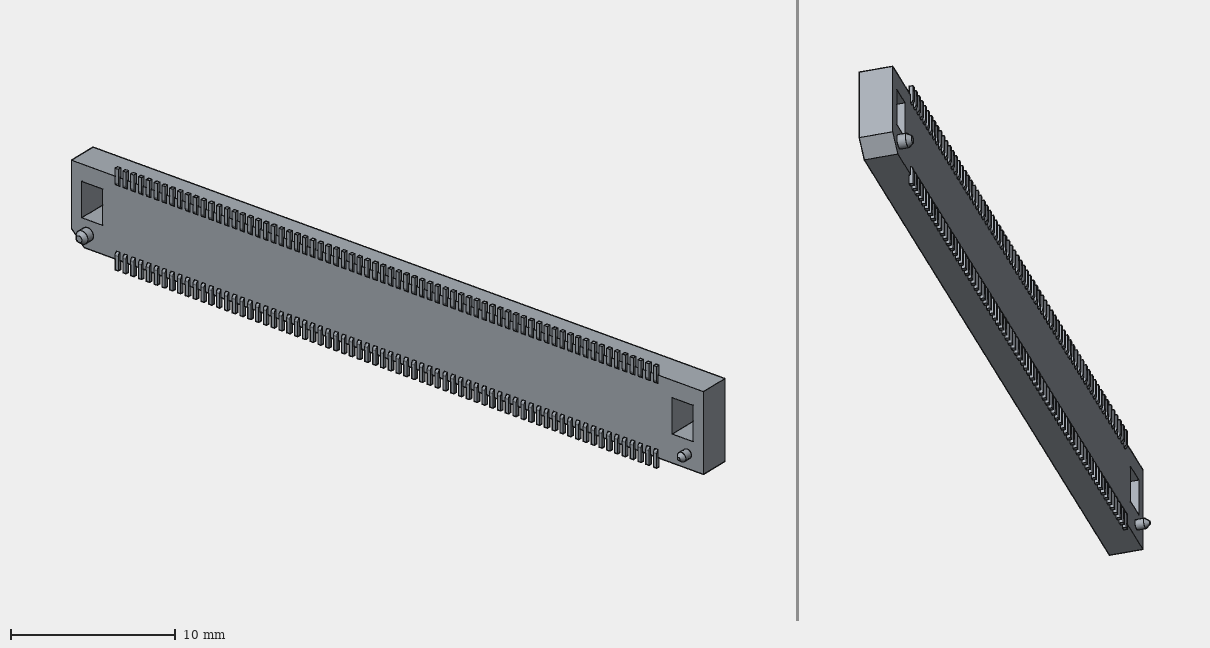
import cadquery as cq


body_length = 48.6
overall_depth = 3.0
overall_width = 7.0

peg_height = 0.85
body_depth = overall_depth - peg_height
body_width = 5.7
corner_chamfer = 1.0

contacts_per_row = 70
contact_pitch = 0.6
contact_width = 0.25
contact_length = 1.25
contact_rise = 0.15
contact_depth = 0.1

window_length = 1.6
window_width = 2.5
window_end_margin = 0.8
window_top_margin = 1.2

peg_end_margin = 1.25
peg_bottom_margin = 1.02
peg_straight_height = 0.55
large_peg_diameter = 0.9
small_peg_diameter = 0.65
peg_taper = 0.225

contact_thickness = contact_rise + contact_depth
half_length = body_length / 2
half_width = body_width / 2
window_x = half_length - window_end_margin - window_length / 2
window_z = half_width - window_top_margin - window_width / 2
peg_x = half_length - peg_end_margin
peg_z = -half_width + peg_bottom_margin


def make_housing():
    """Rectangular housing with one bevelled corner to mark the first contact."""
    housing = cq.Workplane("XY").box(body_length, body_depth, body_width, centered=(True, False, True))
    return housing.edges("|Y and <X and <Z").chamfer(corner_chamfer)


def make_window(x):
    """Cutter for a rectangular window through the full depth of the housing."""
    cutter = cq.Workplane("XY").box(window_length, body_depth, window_width, centered=(True, False, True))
    return cutter.translate((x, 0, window_z))


def make_peg(x, diameter):
    """Round locating peg with a tapered tip, rising from the mounting face towards -Y."""
    radius = diameter / 2
    profile = [
        (0, 0),
        (radius, 0),
        (radius, -peg_straight_height),
        (radius - peg_taper, -peg_height),
        (0, -peg_height),
    ]
    peg = cq.Workplane("XY").polyline(profile).close().revolve(360, (0, 0, 0), (0, 1, 0))
    return peg.translate((x, 0, peg_z))


def make_contact_row(side):
    """Row of contacts with rounded inner ends along the +Z edge (side = 1) or the -Z edge (side = -1)."""
    outer_z = side * overall_width / 2
    inner_z = outer_z - side * contact_length
    bend_z = inner_z + side * contact_thickness
    contact = (
        cq.Workplane("YZ")
        .moveTo(contact_depth, outer_z)
        .lineTo(-contact_rise, outer_z)
        .lineTo(-contact_rise, bend_z)
        .tangentArcPoint((contact_depth, inner_z), relative=False)
        .close()
        .extrude(contact_width / 2, both=True)
        .val()
    )
    first_x = -contact_pitch * (contacts_per_row - 1) / 2
    offsets = [first_x + i * contact_pitch for i in range(contacts_per_row)]
    return [contact.translate(cq.Vector(x, 0, 0)) for x in offsets]


housing = make_housing()
for x in (-window_x, window_x):
    housing = housing.cut(make_window(x))

housing = housing.union(make_peg(-peg_x, large_peg_diameter))
housing = housing.union(make_peg(peg_x, small_peg_diameter))

contacts = make_contact_row(1) + make_contact_row(-1)
result = cq.Workplane("XY").newObject([housing.val().fuse(*contacts)])